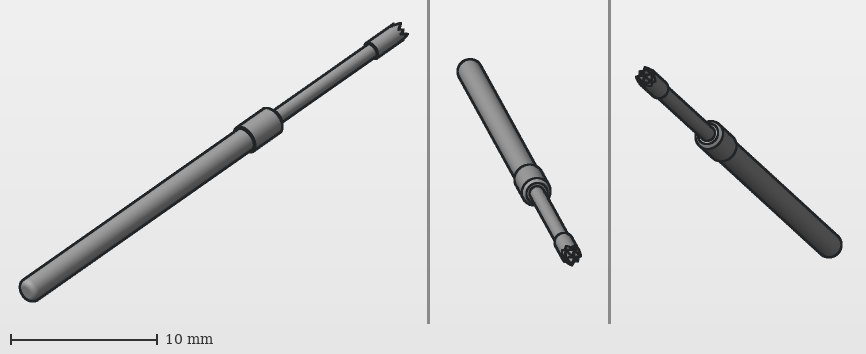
import cadquery as cq

total_length = 37.8

barrel_diameter = 1.7
collar_diameter = 2.0
plunger_diameter = 1.02
crown_diameter = 1.3

crown_length = 3.0
plunger_length = 9.8
collar_length = crown_length
barrel_length = total_length - crown_length - plunger_length - collar_length

collar_chamfer = 0.25
end_rounding = 0.4

groove_pitch = 0.55
groove_depth = 0.55

barrel_end = -total_length / 2
collar_back = barrel_end + barrel_length
collar_front = collar_back + collar_length
crown_back = collar_front + plunger_length
crown_tip = crown_back + crown_length


def rod(diameter, start, end):
    """Round bar along Y between two stations."""
    return cq.Workplane("XZ", origin=(0, start, 0)).circle(diameter / 2).extrude(start - end)


def crown_groove(offset):
    """V-groove running along Z across the crown, centred at X = offset."""
    half_width = groove_pitch / 2
    return (
        cq.Workplane("XY")
        .moveTo(offset - half_width, crown_tip)
        .lineTo(offset, crown_tip - groove_depth)
        .lineTo(offset + half_width, crown_tip)
        .close()
        .extrude(crown_diameter, both=True)
    )


def serrated_crown():
    """Head of the plunger, grooved in both cross directions."""
    crown = rod(crown_diameter, crown_back, crown_tip)
    for offset in (-groove_pitch / 2, groove_pitch / 2):
        groove = crown_groove(offset)
        crown = crown.cut(groove)
        crown = crown.cut(groove.rotate((0, 0, 0), (0, 1, 0), 90))
    return crown


barrel = rod(barrel_diameter, barrel_end, collar_back).faces("<Y").edges().fillet(end_rounding)
collar = rod(collar_diameter, collar_back, collar_front).faces(">Y").edges().chamfer(collar_chamfer)
plunger = rod(plunger_diameter, collar_front, crown_back)

result = barrel.union(collar).union(plunger).union(serrated_crown())